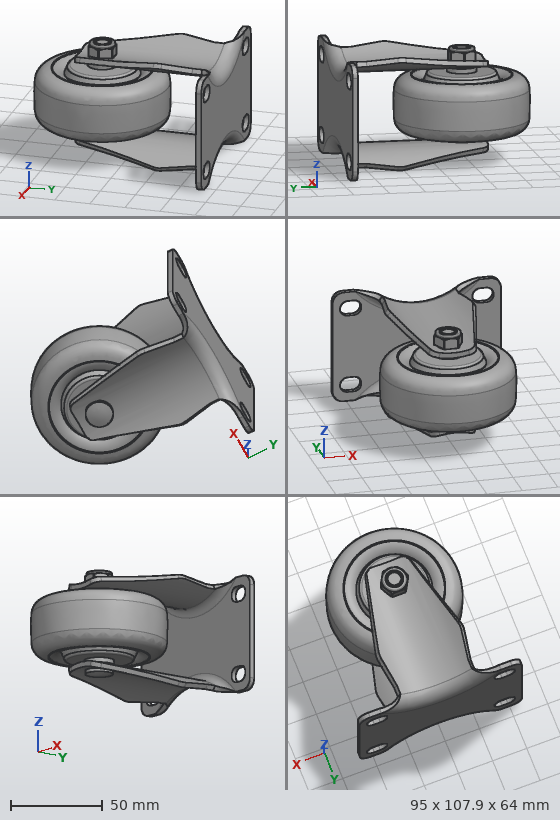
import cadquery as cq
import math


overall_length = 107.9

plate_width = 95.0
plate_height = 64.0
plate_thickness = 3.0
plate_back_y = 70.5
plate_corner_radius = 5.9
slot_length = 12.0
slot_width = 8.5
slot_x = 37.3
slot_z = 22.5

sheet = plate_thickness
arm_inner_z = 20.5
arm_outer_z = arm_inner_z + sheet
curve_radius = 42.1
curve_axis_z = arm_inner_z + curve_radius
bend_radius = 4.4
arm_corner_radius = 5.0
shoulder_radius = 10.0
flare_share = 0.4
cut_margin = 2.2

neck_half_width = 22.5
shoulder_half_width = 25.6
tip_half_width = 12.6
neck_end_y = 57.5
shoulder_y = 38.3
tip_y = -13.0

wheel_radius = overall_length - plate_back_y
tyre_half_width = 16.0
tread_half_width = 8.2
tread_crown = 0.3
core_rim_radius = 27.4
rim_lip = 0.5
hub_radius = 19.3
hub_half_length = 17.9
hub_rounding = 1.4
hub_root_radius = 20.9
groove_floor_z = 13.0

sleeve_radius = 8.2
bolt_radius = 4.3
bolt_end_chamfer = 0.6
bolt_head_radius = 7.6
bolt_head_rim = 2.0
bolt_head_dome = 1.2
nut_across_flats = 14.0
nut_top_z = 31.2
nut_collar_radius = 7.0
nut_collar_height = 1.6
nut_collar_rounding = 0.6
nut_corner_radius = 7.9
nut_corner_drop = 0.6
nut_mouth_chamfer = 0.6

plate_front_y = plate_back_y - plate_thickness
bend_start_y = plate_front_y - bend_radius
bend_foot_radius = curve_radius + bend_radius

neck_angle = math.asin(neck_half_width / curve_radius)
foot_angle = math.acos((curve_axis_z - plate_height / 2) / bend_foot_radius)


def arm_point(radius, angle):
    """X and Z of a point round the arm's curve axis, with the angle measured from straight down."""
    return radius * math.sin(angle), curve_axis_z - radius * math.cos(angle)


def curved_sheet():
    """Long strip of curved sheet, wider than the finished arm."""
    inner = curve_radius
    outer = curve_radius - sheet
    edge = math.pi / 4
    return (
        cq.Workplane("XZ", origin=(0, bend_start_y, 0))
        .moveTo(*arm_point(inner, -edge))
        .threePointArc(arm_point(inner, 0), arm_point(inner, edge))
        .lineTo(*arm_point(outer, edge))
        .threePointArc(arm_point(outer, 0), arm_point(outer, -edge))
        .close()
        .extrude(bend_start_y - tip_y)
    )


def arm_outline(z):
    """Wire of the arm outline on a level plane; its sides point at the curve axis."""

    def side_x(half_width):
        return math.tan(math.asin(half_width / curve_radius)) * (curve_axis_z - z)

    neck = side_x(neck_half_width)
    shoulder = side_x(shoulder_half_width)
    tip = side_x(tip_half_width)
    middle = side_x((shoulder_half_width + tip_half_width) / 2)
    middle_y = (shoulder_y + tip_y) / 2
    return (
        cq.Workplane("XY", origin=(0, 0, z))
        .moveTo(neck, bend_start_y)
        .lineTo(neck, neck_end_y)
        .lineTo(shoulder, shoulder_y)
        .spline([(middle, middle_y), (tip, tip_y)], includeCurrent=True)
        .lineTo(-tip, tip_y)
        .spline([(-middle, middle_y), (-shoulder, shoulder_y)], includeCurrent=True)
        .lineTo(-neck, neck_end_y)
        .lineTo(-neck, bend_start_y)
        .close()
        .val()
    )


def make_arm():
    """Curved arm with its outline cut square to the sheet and its corners rounded."""
    below = arm_inner_z - cut_margin
    above = plate_height / 2 + cut_margin
    blank = cq.Solid.makeLoft([arm_outline(below), arm_outline(above)], True)
    tolerance = 0.01
    arm = curved_sheet().intersect(cq.Workplane(blank))
    for y, radius in ((tip_y, arm_corner_radius), (shoulder_y, shoulder_radius)):
        corners = [
            edge for edge in arm.edges().vals()
            if edge.geomType() != "CIRCLE"
            and abs(edge.startPoint().y - y) < tolerance
            and abs(edge.endPoint().y - y) < tolerance
        ]
        arm = arm.newObject(corners).fillet(radius)
    return arm


def flare_cutter():
    """Cutter for one side of the bend, whose edge flares out from the neck to the plate."""
    middle_angle = neck_angle + flare_share * (foot_angle - neck_angle)
    reach = plate_height / 2
    near = bend_radius - cut_margin
    far = bend_radius + sheet + cut_margin
    stations = ((0, neck_angle), (math.pi / 4, middle_angle), (math.pi / 2, foot_angle))
    sections = []
    for turn, angle in stations:
        along = (math.cos(angle) * reach, math.sin(angle) * reach)
        corners = []
        for distance, step in ((near, 0), (far, 0), (far, 1), (near, 1)):
            x, z = arm_point(bend_foot_radius - distance * math.cos(turn), angle)
            y = bend_start_y + distance * math.sin(turn)
            corners.append(cq.Vector(x + step * along[0], y, z + step * along[1]))
        sections.append(cq.Wire.makePolygon(corners, close=True))
    return cq.Workplane(cq.Solid.makeLoft(sections))


def make_bend():
    """Quarter bend that carries the curved arm round into the flat plate."""
    foot_z = curve_axis_z - bend_foot_radius
    outer_radius = bend_radius + sheet
    diagonal = math.sqrt(0.5)
    half_angle = math.degrees(foot_angle)
    bend = (
        cq.Workplane("YZ")
        .moveTo(bend_start_y, foot_z + bend_radius)
        .threePointArc(
            (bend_start_y + bend_radius * diagonal, foot_z + bend_radius * diagonal),
            (plate_front_y, foot_z),
        )
        .lineTo(plate_back_y, foot_z)
        .threePointArc(
            (bend_start_y + outer_radius * diagonal, foot_z + outer_radius * diagonal),
            (bend_start_y, foot_z + outer_radius),
        )
        .close()
        .revolve(2 * half_angle, (0, curve_axis_z), (1, curve_axis_z))
        .rotate((0, 0, curve_axis_z), (0, 1, curve_axis_z), -half_angle)
    )
    cutter = flare_cutter()
    return bend.cut(cutter).cut(cutter.mirror("YZ"))


def make_plate():
    """Slotted plate, scooped out where the two bends leave it."""
    plate = (
        cq.Workplane("XZ", origin=(0, plate_back_y, 0))
        .rect(plate_width, plate_height)
        .extrude(plate_thickness)
        .edges("|Y")
        .fillet(plate_corner_radius)
    )
    slots = (
        cq.Workplane("XZ", origin=(0, plate_back_y, 0))
        .rect(2 * slot_x, 2 * slot_z, forConstruction=True)
        .vertices()
        .slot2D(slot_length, slot_width)
        .extrude(plate_thickness)
    )
    scoops = (
        cq.Workplane("XZ", origin=(0, plate_back_y, 0))
        .pushPoints([(0, curve_axis_z), (0, -curve_axis_z)])
        .circle(bend_foot_radius)
        .extrude(plate_thickness)
    )
    return plate.cut(slots).cut(scoops)


def make_bracket():
    """Plate and both arms, bent from one sheet."""
    upper_arm = make_arm().union(make_bend())
    lower_arm = upper_arm.mirror("XY")
    return make_plate().union(upper_arm).union(lower_arm)


def make_tyre():
    """Tyre with a slightly crowned tread and rounded corners, bevelled beside the core's rim."""
    side_radius = core_rim_radius + rim_lip
    bevel_z = tyre_half_width - rim_lip
    tread_edge_radius = wheel_radius - tread_crown
    lean = 2 * math.atan(tread_crown / tread_half_width)
    diagonal = math.sqrt(0.5)
    shoulder_mid_radius = side_radius + diagonal * (tread_edge_radius - side_radius)
    shoulder_mid_z = tread_half_width + diagonal * (tyre_half_width - tread_half_width)
    return (
        cq.Workplane("XZ")
        .moveTo(core_rim_radius, -bevel_z)
        .lineTo(side_radius, -tyre_half_width)
        .spline(
            [(shoulder_mid_radius, -shoulder_mid_z), (tread_edge_radius, -tread_half_width)],
            tangents=[(1, 0), (math.sin(lean), math.cos(lean))],
            includeCurrent=True,
        )
        .threePointArc((wheel_radius, 0), (tread_edge_radius, tread_half_width))
        .spline(
            [(shoulder_mid_radius, shoulder_mid_z), (side_radius, tyre_half_width)],
            tangents=[(-math.sin(lean), math.cos(lean)), (-1, 0)],
            includeCurrent=True,
        )
        .lineTo(core_rim_radius, bevel_z)
        .close()
        .revolve(360, (0, 0), (0, 1))
    )


def make_core():
    """Wheel core: hub, dished grooves and outer rim."""
    groove_width = core_rim_radius - hub_root_radius
    groove_depth = tyre_half_width - groove_floor_z
    dish_radius = (groove_width**2 + groove_depth**2) / (2 * groove_depth)
    half_turn = math.asin(groove_width / dish_radius) / 2
    dish_middle = (
        core_rim_radius - dish_radius * math.sin(half_turn),
        tyre_half_width - dish_radius * (1 - math.cos(half_turn)),
    )
    upper_half = (
        cq.Workplane("XZ")
        .moveTo(sleeve_radius, 0)
        .lineTo(core_rim_radius, 0)
        .lineTo(core_rim_radius, tyre_half_width)
        .threePointArc(dish_middle, (hub_root_radius, groove_floor_z))
        .lineTo(hub_radius, hub_half_length - hub_rounding)
        .radiusArc((hub_radius - hub_rounding, hub_half_length), -hub_rounding)
        .lineTo(sleeve_radius, hub_half_length)
        .close()
        .revolve(360, (0, 0), (0, 1))
    )
    return upper_half.union(upper_half.mirror("XY"))


def make_sleeve():
    """Spacer tube between the arms, round the bolt."""
    return cq.Workplane("XY").circle(sleeve_radius).circle(bolt_radius).extrude(arm_inner_z, both=True)


def make_bolt():
    """Bolt with a low domed round head under the lower arm."""
    shank = (
        cq.Workplane("XY", origin=(0, 0, -arm_outer_z))
        .circle(bolt_radius)
        .extrude(arm_outer_z + nut_top_z)
        .faces(">Z")
        .chamfer(bolt_end_chamfer)
    )
    rim_z = -arm_outer_z - bolt_head_rim
    sphere_radius = (bolt_head_radius**2 + bolt_head_dome**2) / (2 * bolt_head_dome)
    head = (
        cq.Workplane("XZ")
        .moveTo(0, -arm_outer_z)
        .lineTo(bolt_head_radius, -arm_outer_z)
        .lineTo(bolt_head_radius, rim_z)
        .radiusArc((0, rim_z - bolt_head_dome), sphere_radius)
        .close()
        .revolve(360, (0, 0), (0, 1))
    )
    return shank.union(head)


def make_nut():
    """Hexagon nut with bevelled corners and a round locking collar."""
    across_corners = nut_across_flats / math.cos(math.pi / 6)
    hexagon_height = nut_top_z - nut_collar_height - arm_outer_z
    hexagon = (
        cq.Workplane("XY", origin=(0, 0, arm_outer_z))
        .polygon(6, across_corners)
        .extrude(hexagon_height)
    )
    bevel = (
        cq.Workplane("XY", origin=(0, 0, arm_outer_z))
        .circle(nut_corner_radius)
        .extrude(hexagon_height)
        .faces(">Z")
        .chamfer(nut_corner_drop, nut_corner_radius - nut_across_flats / 2)
    )
    collar = (
        cq.Workplane("XY", origin=(0, 0, nut_top_z - nut_collar_height))
        .circle(nut_collar_radius)
        .extrude(nut_collar_height)
        .faces(">Z")
        .edges()
        .fillet(nut_collar_rounding)
    )
    bore = cq.Workplane("XY").circle(bolt_radius).extrude(nut_top_z)
    mouth = cq.Solid.makeCone(
        bolt_radius,
        bolt_radius + nut_mouth_chamfer,
        nut_mouth_chamfer,
        pnt=cq.Vector(0, 0, nut_top_z - nut_mouth_chamfer),
    )
    return hexagon.intersect(bevel).union(collar).cut(bore).cut(cq.Workplane(mouth))


bolt = make_bolt()
nut = make_nut()
sleeve = make_sleeve()
core = make_core()
tyre = make_tyre()

bracket = make_bracket().cut(bolt).cut(nut)

result = cq.Compound.makeCompound(
    [bracket.val(), tyre.val(), core.val(), sleeve.val(), bolt.val(), nut.val()]
)